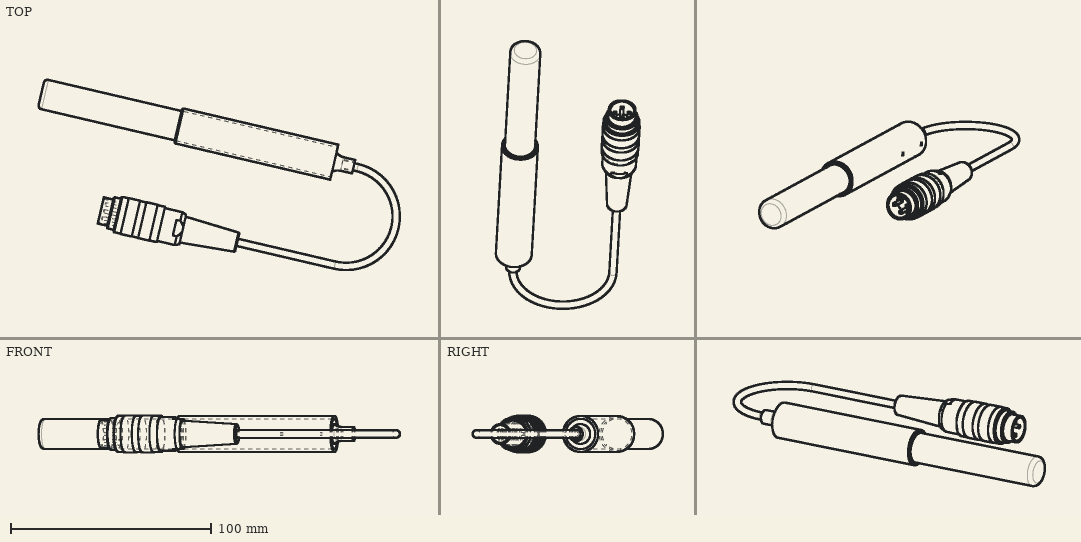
import cadquery as cq
HEADING = -13.15

ROD_DIAMETER = 15.1
TIP_FILLET = 2.0
ROD_EXPOSED = 70.1

SLEEVE_DIAMETER = 18.0
SLEEVE_LENGTH = 80.0
SLEEVE_CHAMFER = 0.7
SCREW_HOLE_COUNT = 2
SCREW_HOLE_DIAMETER = 1.5
SCREW_HOLE_FROM_REAR = 5.0
SCREW_HOLE_SPACING = 20.0

GLAND_BASE_DIAMETER = 10.0
GLAND_DIAMETER = 7.0
GLAND_FLARE_LENGTH = 4.0
GLAND_NECK_LENGTH = 6.0
GLAND_BORE_DIAMETER = 4.7

CABLE_DIAMETER = 3.8
CABLE_LEAD = 2.0
CABLE_RETURN = 50.0
AXIS_SPACING = 50.0

PLUG_LENGTH = 70.0
NOSE_DIAMETER = 13.5
NOSE_LENGTH = 4.9
SHOULDER_DIAMETER = 16.0
SHOULDER_LENGTH = 3.6
GRIP_DIAMETER = 18.2
GRIP_LENGTH = 22.3
RING_HEIGHT = 0.15
RING_WIDTH = 5.8
RING_STARTS = (12.3, 21.3)
NUT_DIAMETER = 17.0
NUT_END_DIAMETER = 15.1
NUT_LENGTH = 11.2
NUT_CHAMFER_LENGTH = 2.2
BOOT_START_DIAMETER = 13.3
BOOT_END_DIAMETER = 10.0
EDGE_CHAMFER = 0.5
FLAT_SPAN = 15.0
FLAT_LENGTH = 4.1
SOCKET_DIAMETER = 11.7
SOCKET_DEPTH = 9.4
PIN_COUNT = 4
PIN_DIAMETER = 1.7
PIN_LENGTH = 8.0
PIN_CHAMFER = 0.4
PIN_CIRCLE_DIAMETER = 7.0

rod_length = ROD_EXPOSED + SLEEVE_LENGTH
neck_start = rod_length + GLAND_FLARE_LENGTH
gland_end = neck_start + GLAND_NECK_LENGTH
bend_start = gland_end + CABLE_LEAD
cable_end = bend_start - CABLE_RETURN
plug_face = cable_end - PLUG_LENGTH
ring_diameter = GRIP_DIAMETER + 2 * RING_HEIGHT
grip_start = NOSE_LENGTH + SHOULDER_LENGTH
nut_start = grip_start + GRIP_LENGTH
nut_end = nut_start + NUT_LENGTH


def cylinder(start, length, diameter):
    """Cylinder on the X axis from `start`."""
    return cq.Workplane("YZ", origin=(start, 0, 0)).circle(diameter / 2).extrude(length)


def turned(stations):
    """Solid of revolution about X through (position, diameter) stations."""
    points = [(position, diameter / 2) for position, diameter in stations]
    profile = [(points[0][0], 0), *points, (points[-1][0], 0)]
    return cq.Workplane("XY").polyline(profile).close().revolve(360, (0, 0, 0), (1, 0, 0))


def make_probe():
    """Round rod with a filleted tip and a cable gland at its rear end."""
    rod = cylinder(0, rod_length, ROD_DIAMETER).faces("<X").edges().fillet(TIP_FILLET)
    return rod.union(make_gland())


def make_gland():
    """Flared neck with a bore that gives the cable clearance."""
    neck_radius = GLAND_DIAMETER / 2
    gland = (
        cq.Workplane("XY")
        .moveTo(gland_end, neck_radius)
        .lineTo(neck_start, neck_radius)
        .tangentArcPoint((rod_length, GLAND_BASE_DIAMETER / 2), relative=False)
        .lineTo(rod_length, 0)
        .lineTo(gland_end, 0)
        .close()
        .revolve(360, (0, 0, 0), (1, 0, 0))
    )
    return gland.cut(cylinder(neck_start, GLAND_NECK_LENGTH, GLAND_BORE_DIAMETER))


def make_sleeve():
    """Tube around the rod, with a row of screw holes through one side of its wall."""
    sleeve = cylinder(ROD_EXPOSED, SLEEVE_LENGTH, SLEEVE_DIAMETER)
    sleeve = sleeve.faces("<X").edges().chamfer(SLEEVE_CHAMFER)
    sleeve = sleeve.cut(cylinder(ROD_EXPOSED, SLEEVE_LENGTH, ROD_DIAMETER))
    for index in range(SCREW_HOLE_COUNT):
        position = rod_length - SCREW_HOLE_FROM_REAR - index * SCREW_HOLE_SPACING
        hole = cq.Workplane("XZ", origin=(position, 0, 0)).circle(SCREW_HOLE_DIAMETER / 2)
        sleeve = sleeve.cut(hole.extrude(SLEEVE_DIAMETER))
    return sleeve


def make_cable():
    """Round cable from the bottom of the gland bore to the end of the plug."""
    path = (
        cq.Workplane("XY")
        .moveTo(neck_start, 0)
        .lineTo(bend_start, 0)
        .threePointArc(
            (bend_start + AXIS_SPACING / 2, -AXIS_SPACING / 2),
            (bend_start, -AXIS_SPACING),
        )
        .lineTo(cable_end, -AXIS_SPACING)
    )
    section = cq.Workplane("YZ", origin=(neck_start, 0, 0)).circle(CABLE_DIAMETER / 2)
    return section.sweep(path)


def make_plug():
    """Stepped plug with grip rings, wrench flats, a tapered boot and a pin socket."""
    plug = turned([
        (0, NOSE_DIAMETER),
        (NOSE_LENGTH, NOSE_DIAMETER),
        (NOSE_LENGTH, SHOULDER_DIAMETER - 2 * EDGE_CHAMFER),
        (NOSE_LENGTH + EDGE_CHAMFER, SHOULDER_DIAMETER),
        (grip_start, SHOULDER_DIAMETER),
        (grip_start, GRIP_DIAMETER - 2 * EDGE_CHAMFER),
        (grip_start + EDGE_CHAMFER, GRIP_DIAMETER),
        (nut_start, GRIP_DIAMETER),
        (nut_start, NUT_DIAMETER),
        (nut_end - NUT_CHAMFER_LENGTH, NUT_DIAMETER),
        (nut_end, NUT_END_DIAMETER),
        (nut_end, BOOT_START_DIAMETER),
        (PLUG_LENGTH - EDGE_CHAMFER, BOOT_END_DIAMETER),
        (PLUG_LENGTH, BOOT_END_DIAMETER - 2 * EDGE_CHAMFER),
    ])
    for start in RING_STARTS:
        plug = plug.union(cylinder(start, RING_WIDTH, ring_diameter))
    plug = cut_wrench_flats(plug)
    plug = plug.cut(cylinder(0, SOCKET_DEPTH, SOCKET_DIAMETER))
    plug = plug.union(contact_pins())
    return plug.translate((plug_face, -AXIS_SPACING, 0))


def cut_wrench_flats(plug):
    """Two flats on the rear end of the nut, facing up and down."""
    blank = cylinder(nut_end - FLAT_LENGTH, FLAT_LENGTH, NUT_DIAMETER)
    between_flats = cq.Workplane("XY").box(2 * PLUG_LENGTH, NUT_DIAMETER, FLAT_SPAN)
    return plug.cut(blank.cut(between_flats))


def contact_pins():
    """Ring of chamfered pins standing on the socket floor."""
    return (
        cq.Workplane("YZ", origin=(SOCKET_DEPTH, 0, 0))
        .polarArray(PIN_CIRCLE_DIAMETER / 2, 0, 360, PIN_COUNT)
        .circle(PIN_DIAMETER / 2)
        .extrude(-PIN_LENGTH)
        .faces("<X")
        .chamfer(PIN_CHAMFER)
    )


def placed(body):
    """Turn a body about Z to the final heading."""
    return body.rotate((0, 0, 0), (0, 0, 1), HEADING)


probe = placed(make_probe())
sleeve = placed(make_sleeve())
cable = placed(make_cable())
plug = placed(make_plug())

result = cq.Compound.makeCompound([probe.val(), sleeve.val(), cable.val(), plug.val()])